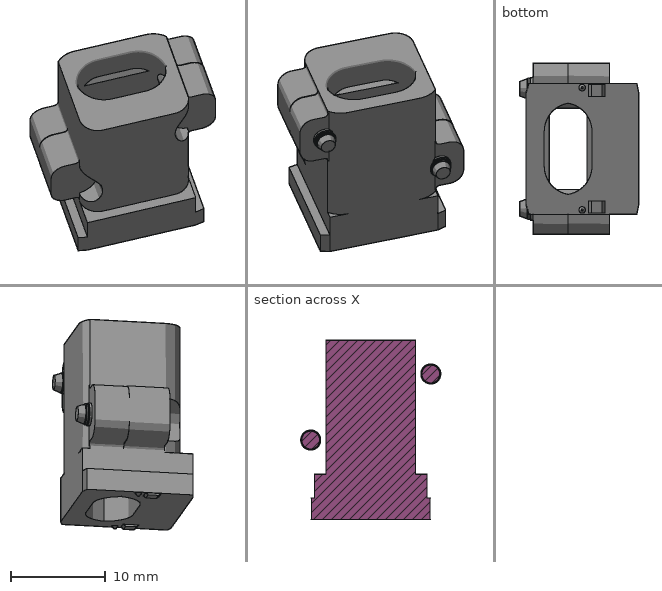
import cadquery as cq
import math

body_top = 19.0
base_height = 4.8
flange_height = 2.3

base_length = 11.93
base_half_width = 5.96
flange_half_width = 6.93
flange_left_slant = 0.33
flange_right_slant = 0.2

body_length = 10.9
body_half_width = base_half_width
body_flat_half_width = 3.95
body_corner_width = body_half_width - body_flat_half_width
body_left_bulge = 0.85

slot_x = 4.45
slot_half_width = 2.53
slot_flat_half_length = 1.81
slot_end_radius = 3.05
slot_lip_radius = 0.45

rib_height = 0.55
rib_slope = 30
rib_z = 15.88

lug_start = 0.75
lug_end = 8.84
lug_step_x = slot_x
lug_half_width = 9.05
lug_half_height = 2.9
lug_step = 0.08
lug_corner_radius = 1.56
lug_root_radius = 0.45
screw_y = 6.35
low_lug_z = 8.41
high_lug_z = 15.4
lugs = [(-1, low_lug_z), (1, high_lug_z)]
counterbore_radius = 2.35
boss_radius = 2.07
boss_start = slot_x - slot_half_width
boss_end = slot_x + slot_half_width
peg_length = 1.4
peg_tip_radius = 0.77
peg_cone_radius = 1.06
peg_ring_radius = 1.14
peg_collar_radius = 1.22
peg_groove_depth = 0.1
peg_groove_width = 0.1
peg_tip_x = lug_start - peg_length
peg_cone_end_x = 0.12
peg_ring_end_x = 0.4

pad_depth = 0.21
pad_x = 7.49
pad_top_length = 1.7
pad_bottom_length = 1.12
pad_inner_y = 5.54
pad_outer_y = 6.8
point_depth = 0.3
point_x = 5.95
point_y = 6.47
point_base_radius = 0.35
point_tip_radius = 0.1


def make_base():
    block = cq.Workplane("XY").box(
        base_length, 2 * base_half_width, base_height, centered=(False, True, False)
    )
    flange = (
        cq.Workplane("XY")
        .moveTo(0, -base_half_width)
        .lineTo(flange_left_slant, -flange_half_width)
        .lineTo(base_length - flange_right_slant, -flange_half_width)
        .lineTo(base_length, -base_half_width)
        .lineTo(base_length, base_half_width)
        .lineTo(base_length - flange_right_slant, flange_half_width)
        .lineTo(flange_left_slant, flange_half_width)
        .lineTo(0, base_half_width)
        .close()
        .extrude(flange_height)
    )
    return block.union(flange)


def make_body():
    left_radius = (body_left_bulge**2 + body_corner_width**2) / (2 * body_left_bulge)
    right_x = body_length - body_corner_width
    return (
        cq.Workplane("XY")
        .moveTo(body_left_bulge, -body_half_width)
        .lineTo(right_x, -body_half_width)
        .radiusArc((body_length, -body_flat_half_width), -body_corner_width)
        .lineTo(body_length, body_flat_half_width)
        .radiusArc((right_x, body_half_width), -body_corner_width)
        .lineTo(body_left_bulge, body_half_width)
        .radiusArc((0, body_flat_half_width), -left_radius)
        .lineTo(0, -body_flat_half_width)
        .radiusArc((body_left_bulge, -body_half_width), -left_radius)
        .close()
        .extrude(body_top)
    )


def lug_section(start_x, end_x, side, center_z, half_height):
    def place(y, z):
        return (side * y, center_z + z)

    root = lug_root_radius
    corner = lug_corner_radius
    wall = body_half_width
    outline = (
        cq.Workplane("YZ", origin=(start_x, 0, 0))
        .moveTo(*place(wall - root, -half_height - root))
        .lineTo(*place(wall, -half_height - root))
        .radiusArc(place(wall + root, -half_height), side * root)
        .lineTo(*place(lug_half_width - corner, -half_height))
        .radiusArc(place(lug_half_width, -half_height + corner), -side * corner)
        .lineTo(*place(lug_half_width, half_height - corner))
        .radiusArc(place(lug_half_width - corner, half_height), -side * corner)
        .lineTo(*place(wall + root, half_height))
        .radiusArc(place(wall, half_height + root), side * root)
        .lineTo(*place(wall - root, half_height + root))
        .close()
    )
    return outline.extrude(end_x - start_x)


def make_lug(side, center_z):
    left = lug_section(lug_start, lug_step_x, side, center_z, lug_half_height)
    right = lug_section(lug_step_x, lug_end, side, center_z, lug_half_height + lug_step)
    return left.union(right)


def x_cylinder(start_x, end_x, side, center_z, radius):
    return (
        cq.Workplane("YZ", origin=(start_x, side * screw_y, center_z))
        .circle(radius)
        .extrude(end_x - start_x)
    )


def make_peg(side, center_z):
    ring_start_x = peg_cone_end_x + peg_groove_width
    collar_start_x = peg_ring_end_x + peg_groove_width
    first_groove_radius = peg_cone_radius - peg_groove_depth
    second_groove_radius = peg_ring_radius - peg_groove_depth
    profile = (
        cq.Workplane("XY")
        .moveTo(peg_tip_x, 0)
        .lineTo(peg_tip_x, peg_tip_radius)
        .lineTo(peg_cone_end_x, peg_cone_radius)
        .lineTo(peg_cone_end_x, first_groove_radius)
        .lineTo(ring_start_x, first_groove_radius)
        .lineTo(ring_start_x, peg_ring_radius)
        .lineTo(peg_ring_end_x, peg_ring_radius)
        .lineTo(peg_ring_end_x, second_groove_radius)
        .lineTo(collar_start_x, second_groove_radius)
        .lineTo(collar_start_x, peg_collar_radius)
        .lineTo(boss_start, peg_collar_radius)
        .lineTo(boss_start, 0)
        .close()
    )
    peg = profile.revolve(360, (0, 0, 0), (1, 0, 0))
    return peg.translate((0, side * screw_y, center_z))


def make_slot_cutter():
    def section(reach):
        return (
            cq.Workplane("XZ")
            .moveTo(0, 0)
            .lineTo(reach, 0)
            .lineTo(reach, body_top - slot_lip_radius)
            .radiusArc((reach + slot_lip_radius, body_top), slot_lip_radius)
            .lineTo(0, body_top)
            .close()
        )

    center_offset = slot_end_radius - slot_half_width
    quadrant = cq.Workplane("XY").box(body_length, body_length, body_top, centered=False)
    turned_end = (
        section(slot_end_radius)
        .revolve(360, (0, 0, 0), (0, 1, 0))
        .translate((-center_offset, 0, 0))
        .intersect(quadrant)
        .translate((0, slot_flat_half_length, 0))
    )
    straight = section(slot_half_width).extrude(-slot_flat_half_length)
    quarter = turned_end.union(straight)
    half = quarter.union(quarter.mirror("YZ"))
    return half.union(half.mirror("XZ")).translate((slot_x, 0, 0))


def make_rib(side):
    half_thickness = rib_height * math.tan(math.radians(rib_slope))
    wall_x = slot_x + side * slot_half_width
    return (
        cq.Workplane("XZ")
        .moveTo(wall_x, rib_z - half_thickness)
        .lineTo(wall_x - side * rib_height, rib_z)
        .lineTo(wall_x, rib_z + half_thickness)
        .close()
        .extrude(body_flat_half_width, both=True)
    )


def make_pad(side):
    pad = (
        cq.Workplane("XZ")
        .moveTo(pad_x - pad_top_length / 2, 0)
        .lineTo(pad_x - pad_bottom_length / 2, -pad_depth)
        .lineTo(pad_x + pad_bottom_length / 2, -pad_depth)
        .lineTo(pad_x + pad_top_length / 2, 0)
        .close()
        .extrude(pad_outer_y - pad_inner_y)
    )
    start_y = pad_outer_y if side > 0 else -pad_inner_y
    return pad.translate((0, start_y, 0))


def make_point(side):
    cone = cq.Solid.makeCone(
        point_base_radius,
        point_tip_radius,
        point_depth,
        pnt=cq.Vector(point_x, side * point_y, 0),
        dir=cq.Vector(0, 0, -1),
    )
    return cq.Workplane(cone)


result = make_base().union(make_body())
for side, center_z in lugs:
    result = result.cut(x_cylinder(lug_end, base_length, side, center_z, counterbore_radius))
    result = result.union(make_lug(side, center_z))

result = result.cut(make_slot_cutter())

for side in (-1, 1):
    result = result.union(make_rib(side))
for side, center_z in lugs:
    boss = x_cylinder(boss_start, boss_end, side, center_z, boss_radius)
    result = result.union(boss)
    result = result.union(make_peg(side, center_z))

for side in (-1, 1):
    result = result.union(make_pad(side)).union(make_point(side))